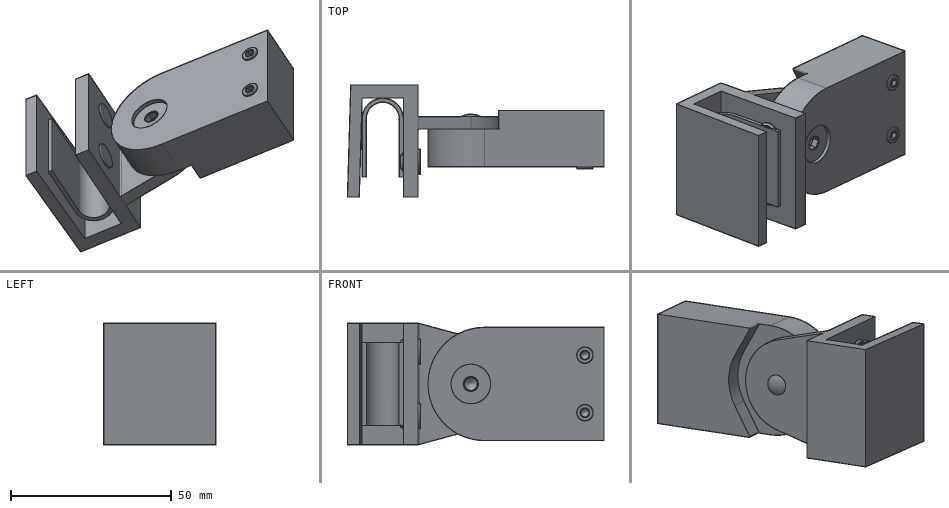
import cadquery as cq
import math

channel_depth = 35.0
channel_height = 38.0
channel_right = 22.1
slot_right = 17.5
slot_depth = 30.8
slot_corner_x = 4.65
outer_wall_foot = 3.8
splay = 1.05

leaf_front = 21.2
leaf_thickness = 3.85
leaf_shoulder_x = 38.6
leaf_shoulder_z = 14.5
leaf_root_fillet = 0.4
leaf_taper = math.atan2(channel_height / 2 - leaf_shoulder_z, leaf_shoulder_x - channel_right)
leaf_radius = leaf_shoulder_z / math.cos(leaf_taper)
leaf_end_x = leaf_shoulder_x + leaf_radius * (1 - math.sin(leaf_taper))

pivot_x = 38.5
housing_right = 80.1
housing_front = 9.45
housing_thickness = 17.6
housing_radius = 17.7
housing_arc_x = 42.85
housing_left = housing_arc_x - housing_radius
swing_radius = 16.1
swing_angle = 60.0
swing_tip_fillet = 0.28

wall_normal = math.radians(90 - swing_angle)
wall_start_x = pivot_x + swing_radius * math.cos(wall_normal)
wall_start_z = swing_radius * math.sin(wall_normal)
wall_tip_x = wall_start_x - (housing_radius - wall_start_z) / math.tan(math.radians(swing_angle))

bolt_head_radius = 6.2
bolt_head_sink = 1.3
bolt_head_thickness = 3.2
bolt_shank_radius = 3.2
bolt_dome_height = 0.8

head_edge_fillet = 0.25
clamp_screw_tip_chamfer = 0.65
housing_screw_radius = 2.6
housing_screw_x = 74.1
housing_screw_z = 9.0
housing_screw_head = 0.65
housing_screw_length = 8.0
clamp_screw_radius = 4.0
clamp_screw_y = 11.0
clamp_screw_z = 10.0
clamp_screw_start = 16.7
clamp_screw_end = 22.75

bolt_socket_flats = 4.0
bolt_socket_depth = 2.4
housing_socket_flats = 2.6
housing_socket_depth = 1.6
socket_rim = 1.16
socket_tip_angle = 59.0

liner_thickness = 1.3
liner_height = 25.9
liner_foot = 6.25
liner_radius = (slot_right - slot_corner_x) / 2
liner_x = slot_corner_x + liner_radius
liner_arc_y = slot_depth - liner_radius


def y_cylinder(x, z, start, end, radius):
    """Cylinder along Y, from y = start to y = end."""
    return cq.Workplane("XZ", origin=(x, start, z)).circle(radius).extrude(start - end)


def x_cylinder(y, z, start, end, radius):
    """Cylinder along X, from x = start to x = end."""
    return cq.Workplane("YZ", origin=(start, y, z)).circle(radius).extrude(end - start)


def make_clamp_screw(z):
    """Screw through the clamp's inner wall; the same shape cuts its hole and its seat in the liner."""
    screw = x_cylinder(clamp_screw_y, z, clamp_screw_start, clamp_screw_end, clamp_screw_radius)
    screw = screw.faces("<X").edges().chamfer(clamp_screw_tip_chamfer)
    return screw.faces(">X").edges().fillet(head_edge_fillet)


def hex_socket(x, z, face_y, flats, depth):
    """Hexagonal socket with a countersunk rim and a drilled conical bottom."""
    corner_diameter = flats / math.cos(math.pi / 6)
    rim_radius = flats * socket_rim / 2
    hexagon = cq.Workplane("XZ", origin=(x, face_y, z)).polygon(6, corner_diameter).extrude(-depth)
    point_length = flats / 2 / math.tan(math.radians(socket_tip_angle))
    into_body = cq.Vector(0, 1, 0)
    point = cq.Solid.makeCone(flats / 2, 0, point_length, cq.Vector(x, face_y + depth, z), into_body)
    rim = cq.Solid.makeCone(rim_radius, 0, rim_radius, cq.Vector(x, face_y, z), into_body)
    return hexagon.union(cq.Workplane(point)).union(cq.Workplane(rim))


def make_clamp():
    channel = (
        cq.Workplane("XY", origin=(0, 0, -channel_height / 2))
        .polyline([
            (0, 0),
            (outer_wall_foot, 0),
            (slot_corner_x, slot_depth),
            (slot_right, slot_depth),
            (slot_right, 0),
            (channel_right, 0),
            (channel_right, channel_depth),
            (splay, channel_depth),
        ])
        .close()
        .extrude(channel_height)
    )
    leaf = (
        cq.Workplane("XZ", origin=(0, leaf_front, 0))
        .moveTo(channel_right, -channel_height / 2)
        .lineTo(leaf_shoulder_x, -leaf_shoulder_z)
        .threePointArc((leaf_end_x, 0), (leaf_shoulder_x, leaf_shoulder_z))
        .lineTo(channel_right, channel_height / 2)
        .close()
        .extrude(-leaf_thickness)
    )
    leaf = leaf.cut(y_cylinder(pivot_x, 0, leaf_front, leaf_front + leaf_thickness, bolt_shank_radius))
    root_corner = cq.selectors.NearestToPointSelector((channel_right, leaf_front, 0))
    clamp = channel.union(leaf).edges(root_corner).fillet(leaf_root_fillet)
    for z in (-clamp_screw_z, clamp_screw_z):
        clamp = clamp.cut(make_clamp_screw(z))
    return clamp


def make_liner():
    strip = (
        cq.Workplane("XY", origin=(0, 0, -liner_height / 2))
        .moveTo(slot_corner_x, liner_foot)
        .lineTo(slot_corner_x, liner_arc_y)
        .threePointArc((liner_x, slot_depth), (slot_right, liner_arc_y))
        .lineTo(slot_right, liner_foot)
        .lineTo(slot_right - liner_thickness, liner_foot)
        .lineTo(slot_right - liner_thickness, liner_arc_y)
        .threePointArc(
            (liner_x, slot_depth - liner_thickness),
            (slot_corner_x + liner_thickness, liner_arc_y),
        )
        .lineTo(slot_corner_x + liner_thickness, liner_foot)
        .close()
        .extrude(liner_height)
    )
    for z in (-clamp_screw_z, clamp_screw_z):
        strip = strip.cut(make_clamp_screw(z))
    return strip


def swing_recess():
    """Room for the leaf: round about the pivot, with side walls tangent to that circle."""
    return (
        cq.Workplane("XZ", origin=(0, leaf_front, 0))
        .moveTo(housing_left, -housing_radius)
        .lineTo(wall_tip_x, -housing_radius)
        .lineTo(wall_start_x, -wall_start_z)
        .threePointArc((pivot_x + swing_radius, 0), (wall_start_x, wall_start_z))
        .lineTo(wall_tip_x, housing_radius)
        .lineTo(housing_left, housing_radius)
        .close()
        .extrude(-housing_thickness)
    )


def make_housing():
    housing = (
        cq.Workplane("XZ", origin=(0, housing_front, 0))
        .moveTo(housing_right, -housing_radius)
        .lineTo(housing_arc_x, -housing_radius)
        .threePointArc((housing_left, 0), (housing_arc_x, housing_radius))
        .lineTo(housing_right, housing_radius)
        .close()
        .extrude(-housing_thickness)
    )
    housing = housing.cut(swing_recess())
    back = housing_front + housing_thickness
    for z in (-housing_radius, housing_radius):
        tip = cq.selectors.NearestToPointSelector((wall_tip_x, (leaf_front + back) / 2, z))
        housing = housing.edges(tip).fillet(swing_tip_fillet)
    head_back = housing_front + bolt_head_sink + bolt_head_thickness
    housing = housing.cut(y_cylinder(pivot_x, 0, housing_front, head_back, bolt_head_radius))
    housing = housing.cut(y_cylinder(pivot_x, 0, head_back, leaf_front, bolt_shank_radius))
    for z in (-housing_screw_z, housing_screw_z):
        screw_end = housing_front + housing_screw_length
        housing = housing.cut(
            y_cylinder(housing_screw_x, z, housing_front, screw_end, housing_screw_radius)
        )
    return housing


def make_pivot_bolt():
    head_front = housing_front + bolt_head_sink
    head_back = head_front + bolt_head_thickness
    dome_base = leaf_front + leaf_thickness
    dome_sphere_radius = (bolt_shank_radius**2 + bolt_dome_height**2) / (2 * bolt_dome_height)
    dome_center = dome_base + bolt_dome_height - dome_sphere_radius
    dome_sphere = cq.Workplane("XY", origin=(pivot_x, dome_center, 0)).sphere(dome_sphere_radius)
    dome_blank = y_cylinder(pivot_x, 0, dome_base, dome_base + bolt_dome_height, bolt_shank_radius)
    dome = dome_blank.intersect(dome_sphere)
    shank = y_cylinder(pivot_x, 0, head_back, dome_base, bolt_shank_radius)
    head = y_cylinder(pivot_x, 0, head_front, head_back, bolt_head_radius)
    return head.union(shank).union(dome).cut(
        hex_socket(pivot_x, 0, head_front, bolt_socket_flats, bolt_socket_depth)
    )


def make_housing_screw(z):
    head_front = housing_front - housing_screw_head
    screw_end = housing_front + housing_screw_length
    screw = y_cylinder(housing_screw_x, z, head_front, screw_end, housing_screw_radius)
    screw = screw.faces("<Y").edges().fillet(head_edge_fillet)
    return screw.cut(
        hex_socket(housing_screw_x, z, head_front, housing_socket_flats, housing_socket_depth)
    )


clamp = make_clamp()
liner = make_liner()
housing = make_housing()
pivot_bolt = make_pivot_bolt()
housing_screws = [make_housing_screw(z) for z in (-housing_screw_z, housing_screw_z)]
clamp_screws = [make_clamp_screw(z) for z in (-clamp_screw_z, clamp_screw_z)]

result = cq.Compound.makeCompound([
    clamp.val(),
    liner.val(),
    housing.val(),
    pivot_bolt.val(),
    *[screw.val() for screw in housing_screws],
    *[screw.val() for screw in clamp_screws],
])